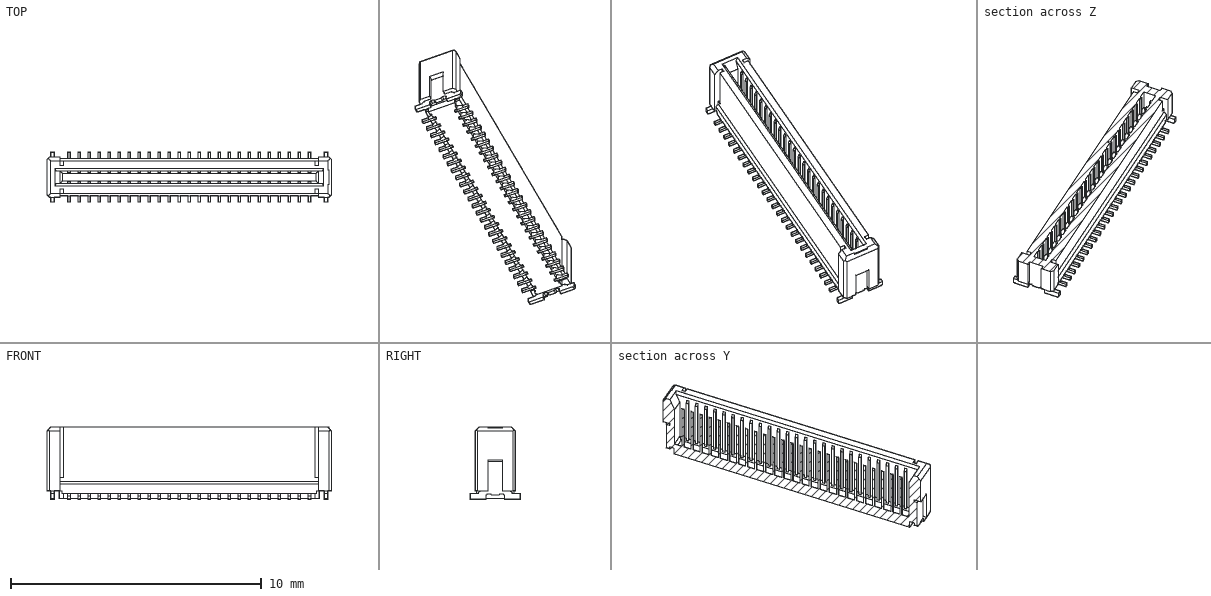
import cadquery as cq

length = 11.36
foot_span = 2.0
height = 2.9

post_length = 0.52
post_width = 1.61
post_bottom = 0.34
post_corner_chamfer = 0.1
rim_chamfer_end = 0.15
rim_chamfer_side = 0.16
rim_chamfer_height = 0.17

wall_width = 1.28
skirt_width = 1.5
skirt_bottom = 0.24
ledge_low = 0.61
ledge_high = 0.72
skirt_corner_length = 0.08

base_bottom = 0.03
base_width = 1.05
tab_width = 1.14
tab_start = 0.49
tab_end = 0.66

notch_length = 0.14
notch_inner_y = 0.47
notch_bottom = 0.89

cavity_end_gap = 0.32
cavity_width = 0.7
cavity_step = 0.1
end_slope_run = 0.2
end_slope_depth = 0.45
cavity_floor = 0.51

contact_count = 25
contact_row_length = 9.6
contact_pitch = contact_row_length / (contact_count - 1)
contact_width = 0.1
contact_tail_height = 0.14
contact_tip = 2.66
contact_protrusion = 0.06
contact_tip_taper = 0.11

plate_inset = 0.15
plate_thickness = 0.15
tongue_width = 0.59
tongue_top = 1.51
slot_top = 1.58
foot_height = 0.24
foot_edge_chamfer = 0.05
shoulder_top_y = 0.6
shoulder_low_y = 0.7
foot_inner_y = 0.36
arch_top = 0.23
arch_centre_height = 0.17
arch_inner_y = 0.14
arch_slope_run = 0.06

mark_setback = 0.1

overlap = 0.11

half_length = length / 2
post_inner_x = half_length - post_length


def box(x0, x1, y0, y1, z0, z1):
    """Block between two opposite corners."""
    return cq.Workplane("XY").box(x1 - x0, y1 - y0, z1 - z0, centered=False).translate((x0, y0, z0))


def extrude_along_x(points, x0, x1):
    """Closed YZ outline extruded from x0 to x1."""
    return cq.Workplane("YZ").workplane(offset=x0).polyline(points).close().extrude(x1 - x0)


def mirrored_outline(points):
    """Outline on the +Y side completed by its mirror image."""
    return points + [(-y, z) for y, z in reversed(points)]


def both_ends(solid):
    """The +X solid together with its copy at the -X end."""
    return solid.union(solid.mirror("YZ"))


def make_tapered_block(x_low, y_low, z_low, x_high, y_high, z_high):
    """Frustum with centred rectangles of the given half sizes at its two levels."""
    return (
        cq.Workplane("XY")
        .workplane(offset=z_low)
        .rect(2 * x_low, 2 * y_low)
        .workplane(offset=z_high - z_low)
        .rect(2 * x_high, 2 * y_high)
        .loft(combine=True, ruled=True)
    )


def make_posts():
    """Block with broken corners and rim, reduced to its two ends."""
    block = box(-half_length, half_length, -post_width / 2, post_width / 2, post_bottom, height)
    block = block.edges("|Z").chamfer(post_corner_chamfer)
    rim_level = height - rim_chamfer_height
    envelope = make_tapered_block(
        half_length, post_width / 2, rim_level,
        half_length - rim_chamfer_end, post_width / 2 - rim_chamfer_side, height,
    )
    column = box(-half_length, half_length, -post_width / 2, post_width / 2, post_bottom, rim_level)
    block = block.intersect(column.union(envelope))
    middle = box(-post_inner_x, post_inner_x, -post_width, post_width, 0, height)
    return block.cut(middle)


def make_wall():
    """Long walls on a wider skirt whose lower end corners are stepped."""
    outline = mirrored_outline([
        (skirt_width / 2, skirt_bottom),
        (skirt_width / 2, ledge_low),
        (wall_width / 2, ledge_high),
        (wall_width / 2, height),
    ])
    wall = extrude_along_x(outline, -post_inner_x, post_inner_x)
    corner = box(
        post_inner_x - skirt_corner_length, post_inner_x,
        -skirt_width / 2, skirt_width / 2, skirt_bottom, post_bottom,
    )
    return wall.cut(both_ends(corner))


def make_base():
    """Shallow bar under the housing with a tab at each end."""
    tab_inner_x = half_length - tab_end
    base = box(-tab_inner_x, tab_inner_x, -base_width / 2, base_width / 2, base_bottom, post_bottom)
    tab = box(
        tab_inner_x, half_length - tab_start,
        -tab_width / 2, tab_width / 2, base_bottom, post_bottom + overlap,
    )
    return base.union(both_ends(tab))


def make_notches():
    """Four vertical slits where the long walls meet the posts."""
    notch = box(
        post_inner_x - notch_length, post_inner_x,
        notch_inner_y, wall_width / 2, notch_bottom, height,
    )
    return both_ends(notch.union(notch.mirror("XZ")))


def make_cavity():
    """Opening with flared long sides, sloped ends and a stepped-in floor."""
    top_x = half_length - cavity_end_gap
    inner_x = top_x - end_slope_run
    top_y = cavity_width / 2
    inner_y = top_y - cavity_step
    slope_end = height - end_slope_depth
    floor_edge = cavity_floor + cavity_step
    end_profile = [
        (-top_x, height), (-inner_x, slope_end), (-inner_x, cavity_floor),
        (inner_x, cavity_floor), (inner_x, slope_end), (top_x, height),
    ]
    lengthwise = cq.Workplane("XZ").polyline(end_profile).close().extrude(top_y, both=True)
    cross_outline = mirrored_outline([
        (top_y - 2 * cavity_step, cavity_floor),
        (inner_y, floor_edge),
        (inner_y, height - cavity_step),
        (top_y, height),
    ])
    cavity = lengthwise.intersect(extrude_along_x(cross_outline, -top_x, top_x))
    floor_taper = make_tapered_block(
        inner_x - cavity_step, inner_y - cavity_step, cavity_floor, inner_x, inner_y, floor_edge,
    )
    upper = box(-top_x, top_x, -top_y, top_y, floor_edge, height)
    return cavity.intersect(upper.union(floor_taper))


def make_contact_pair(x):
    """Blade on each cavity wall and a solder tail on each side."""
    wall_y = cavity_width / 2 - cavity_step
    blade_y = wall_y - contact_protrusion
    blade = [
        (wall_y + overlap, cavity_floor),
        (blade_y, cavity_floor),
        (blade_y, contact_tip - contact_tip_taper),
        (wall_y, contact_tip),
        (wall_y + overlap, contact_tip),
    ]
    tail = [
        (base_width / 2 - overlap, 0),
        (foot_span / 2, 0),
        (foot_span / 2, contact_tail_height),
        (skirt_width / 2, contact_tail_height),
        (tab_width / 2, skirt_bottom),
        (base_width / 2 - overlap, skirt_bottom),
    ]
    x0 = x - contact_width / 2
    x1 = x + contact_width / 2
    contact = extrude_along_x(blade, x0, x1).union(extrude_along_x(tail, x0, x1))
    return contact.union(contact.mirror("XZ"))


def make_tongue_slot():
    """Recess in the outer face of the post that receives the plate tongue."""
    outer_plane = half_length - plate_inset
    return box(
        outer_plane - plate_thickness, half_length,
        -tongue_width / 2, tongue_width / 2, post_bottom, slot_top,
    )


def make_plate():
    """Tongue widening through sloped shoulders to a solder foot on each side."""
    foot_y = foot_span / 2
    outline = mirrored_outline([
        (arch_inner_y, arch_centre_height),
        (arch_inner_y + arch_slope_run, arch_top),
        (foot_inner_y - arch_slope_run, arch_top),
        (foot_inner_y, arch_centre_height),
        (foot_inner_y, 0),
        (foot_y - foot_edge_chamfer, 0),
        (foot_y, foot_edge_chamfer),
        (foot_y, foot_height),
        (shoulder_low_y, foot_height),
        (shoulder_top_y, post_bottom),
        (tongue_width / 2, post_bottom),
        (tongue_width / 2, tongue_top),
    ])
    outer_plane = half_length - plate_inset
    return extrude_along_x(outline, outer_plane - plate_thickness, outer_plane)


def make_polarity_mark():
    """Flat-topped step standing on the end slope of the rim."""
    return box(
        half_length - rim_chamfer_end - overlap, half_length - mark_setback,
        -tongue_width / 2, tongue_width / 2, height - rim_chamfer_height, height,
    )


housing = make_posts().union(make_wall()).union(make_base()).union(make_polarity_mark())
housing = housing.cut(make_notches()).cut(make_cavity()).cut(both_ends(make_tongue_slot()))
result = housing.union(both_ends(make_plate()))

for index in range(contact_count):
    contact_x = index * contact_pitch - contact_row_length / 2
    result = result.union(make_contact_pair(contact_x))